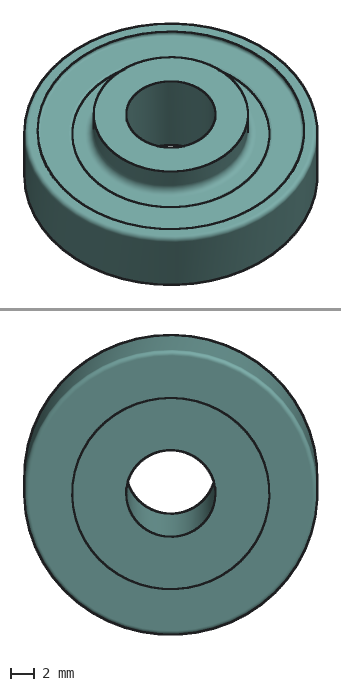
import cadquery as cq

outer_radius = 12.35
ring_height = 6.0
rim_round = 0.4
recess_radius = 11.21
recess_depth = 0.4
recess_fillet = 0.25

lip_outer_radius = 8.55
joint_radius = 8.3
lip_drop = 0.07

total_height = 8.0
collar_radius = 6.5
collar_fillet = 0.7
bore_radius = 3.75

recess_z = ring_height - recess_depth
land_z = recess_z - lip_drop


def make_outer_ring():
    """Ring with rounded outer edges, a recessed top face and a lip around the joint."""
    ring = (
        cq.Workplane("XY")
        .circle(outer_radius)
        .extrude(ring_height)
        .edges()
        .fillet(rim_round)
    )
    recess = (
        cq.Workplane("XY", origin=(0, 0, recess_z))
        .circle(recess_radius)
        .extrude(recess_depth)
        .faces("<Z")
        .edges()
        .fillet(recess_fillet)
    )
    joint_opening = (
        cq.Workplane("XZ")
        .moveTo(0, 0)
        .lineTo(joint_radius, 0)
        .lineTo(joint_radius, land_z)
        .lineTo(lip_outer_radius, recess_z)
        .lineTo(0, recess_z)
        .close()
        .revolve(360, (0, 0, 0), (0, 1, 0))
    )
    return ring.cut(recess).cut(joint_opening).solids()


def make_inner_ring():
    """Bored ring whose collar rises from the land through a concave fillet."""
    fillet_outer_radius = collar_radius + collar_fillet
    fillet_top_z = land_z + collar_fillet
    return (
        cq.Workplane("XZ")
        .moveTo(bore_radius, 0)
        .lineTo(joint_radius, 0)
        .lineTo(joint_radius, land_z)
        .lineTo(fillet_outer_radius, land_z)
        .radiusArc((collar_radius, fillet_top_z), collar_fillet)
        .lineTo(collar_radius, total_height)
        .lineTo(bore_radius, total_height)
        .close()
        .revolve(360, (0, 0, 0), (0, 1, 0))
    )


outer_ring = make_outer_ring()
inner_ring = make_inner_ring()

result = cq.Compound.makeCompound([outer_ring.val(), inner_ring.val()])